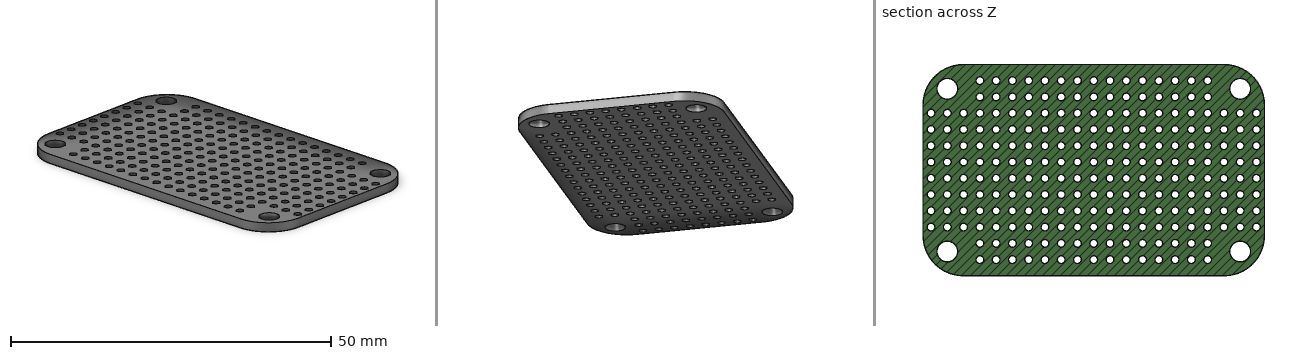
import cadquery as cq

length = 53.35
columns = 21
rows = 12
pitch = length / columns
width = (rows + 1) * pitch
thickness = 1.55
corner_radius = 2.5 * pitch

grid_hole_diameter = 1.2
mount_hole_diameter = 3.2
mount_hole_inset = 1.5 * pitch

free_columns = 3
free_rows = 2


def near_corner(column, row):
    """True where a mounting hole takes the place of the grid hole."""
    in_end_columns = column < free_columns or column >= columns - free_columns
    in_end_rows = row < free_rows or row >= rows - free_rows
    return in_end_columns and in_end_rows


def grid_points():
    """Centres of the small holes, with the grid centred on the plate."""
    return [
        ((column - (columns - 1) / 2) * pitch, (row - (rows - 1) / 2) * pitch)
        for column in range(columns)
        for row in range(rows)
        if not near_corner(column, row)
    ]


plate = cq.Workplane("XY").box(length, width, thickness).edges("|Z").fillet(corner_radius)

plate = (
    plate.faces(">Z").workplane()
    .rect(length - 2 * mount_hole_inset, width - 2 * mount_hole_inset, forConstruction=True)
    .vertices()
    .hole(mount_hole_diameter)
)

result = plate.faces(">Z").workplane().pushPoints(grid_points()).hole(grid_hole_diameter)